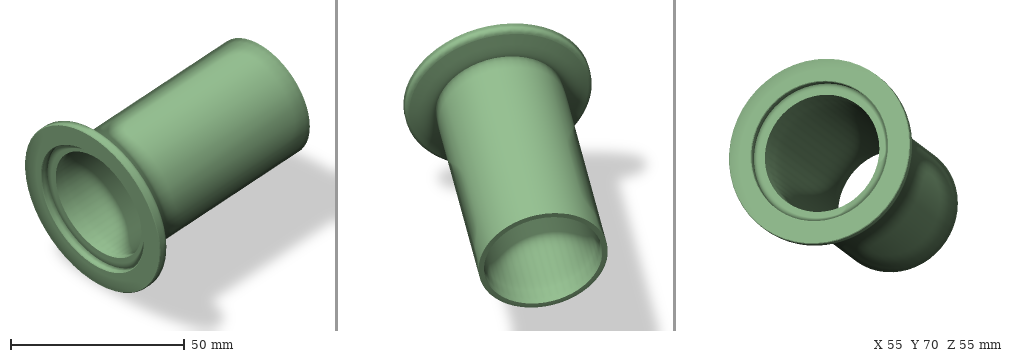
import cadquery as cq

length = 70.0
flange_diameter = 55.0
tube_diameter = 38.0
bore_diameter = 34.8
recess_diameter = 41.45
recess_depth = 2.6
rim_thickness = 3.15
flange_thickness = 5.1
rim_fillet = 1.5
face_edge_chamfer = 0.2

flange_radius = flange_diameter / 2
tube_radius = tube_diameter / 2
bore_radius = bore_diameter / 2
recess_radius = recess_diameter / 2


def revolved_body():
    """Turn the half section, given as (radius, Y) points, about the Y axis."""
    section = [
        (recess_radius, 0),
        (flange_radius, 0),
        (flange_radius, rim_thickness),
        (tube_radius, flange_thickness),
        (tube_radius, length),
        (bore_radius, length),
        (bore_radius, recess_depth),
        (recess_radius, recess_depth),
    ]
    axis_start = (0, 0)
    axis_end = (0, 1)
    return cq.Workplane("XY").polyline(section).close().revolve(360, axis_start, axis_end)


def round_back_of_rim(body):
    """Fillet the edge between the cylindrical rim and the conical back."""
    rim_edge = cq.selectors.RadiusNthSelector(-1)
    return body.edges("%CIRCLE").edges(rim_edge).edges(">Y").fillet(rim_fillet)


def break_face_edges(body):
    """Chamfer the outer edge and the recess edge of the sealing face."""
    return body.faces("<Y").edges().chamfer(face_edge_chamfer)


result = break_face_edges(round_back_of_rim(revolved_body()))